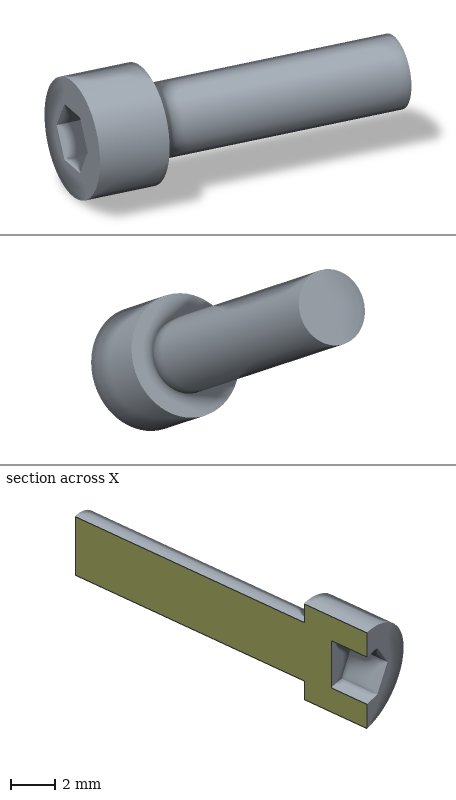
import cadquery as cq
import math

INCH = 25.4

shank_diameter = 0.138 * INCH
shank_length = 0.5 * INCH
head_diameter = 0.225 * INCH
head_height = shank_diameter

socket_sides = 6
socket_across_flats = 7 / 64 * INCH
socket_across_corners = socket_across_flats / math.cos(math.pi / socket_sides)
socket_depth = 0.078 * INCH


def workplane_at(y):
    """Workplane across the screw axis, with its normal toward the tip (+Y)."""
    return cq.Workplane(cq.Plane(origin=(0, y, 0), xDir=(1, 0, 0), normal=(0, 1, 0)))


def make_head():
    """Cylindrical head, from its outer face to the seating face."""
    return workplane_at(-head_height).circle(head_diameter / 2).extrude(head_height)


def make_shank():
    """Plain shank, from the seating face to the tip."""
    return workplane_at(0).circle(shank_diameter / 2).extrude(shank_length)


def make_socket():
    """Flat-bottomed hexagonal socket with two opposite corners in line with X."""
    return workplane_at(-head_height).polygon(socket_sides, socket_across_corners).extrude(socket_depth)


result = make_head().union(make_shank()).cut(make_socket())